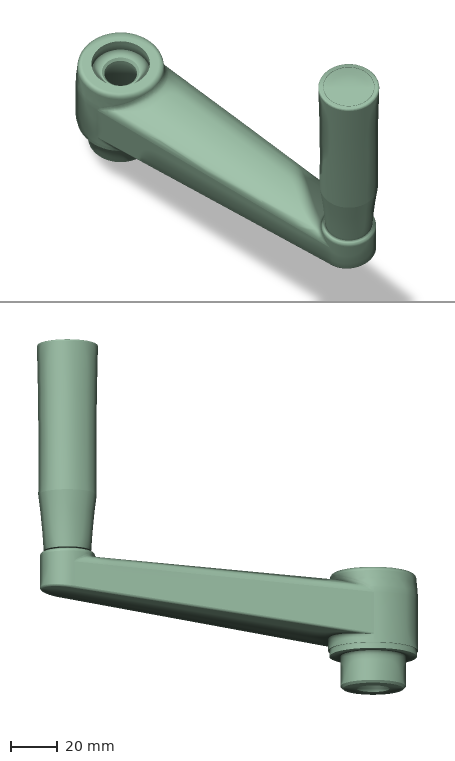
import cadquery as cq
import math


HUB_R = 38.5 / 2
HUB_TOP_R = 18.3
HUB_BOTTOM_Z = 14.0
HUB_STEP_Z = 16.5
HUB_STEP_DEPTH = 0.5
HUB_BLEND_LOW_Z = 38.5
HUB_BLEND_HIGH_Z = 41.3
HUB_TOP_Z = 49.8
HUB_TOP_FILLET = 2.0
SPIGOT_R = 14.0
SPIGOT_CHAMFER = 1.0

BORE_R = 7.0
BORE_CHAMFER = 1.0
COUNTERBORE_R = 12.5
COUNTERBORE_DEPTH = 5.5

AXIS_SPACING = 134.3
ARM_START_X = 4.0
CROWN_R = 38.3
CROWN_START_Z = 45.2
CROWN_TILT = 2.7
UNDERSIDE_START_Z = 19.2
UNDERSIDE_TILT = 7
ARM_EDGE_FILLET = 3.5
UNDERSIDE_FILLET = 0.8
HUB_COVE = 1.8

BOSS_R = 23.5 / 2
BOSS_TOP_Z = 53.2
BOSS_TOP_FILLET = 1.5
BOSS_COVE = 1.5
BOSS_OVERLAP = 0.03

NECK_R = 8.0
GRIP_BOTTOM_Z = 53.8
GRIP_BOTTOM_R = 10.2
GRIP_SHOULDER_Z = 78.3
GRIP_SHOULDER_R = 12.5
GRIP_TOP_Z = 143.8
GRIP_TOP_R = 26.2 / 2
GRIP_TOP_FILLET = 0.7
TAPER_HOLLOW = 0.25
WAIST_HOLLOW = 0.3
PLUG_R = 10.8
PLUG_GAP = 0.2
PLUG_GAP_DEPTH = 0.5

SPAN = 3 * AXIS_SPACING


def revolve_about_z(profile):
    return profile.close().revolve(360, (0, 0, 0), (0, 1, 0))


def make_hub():
    """Spigot and body, the upper body drawn in by a blended cone."""
    blend_mid_z = (HUB_BLEND_LOW_Z + HUB_BLEND_HIGH_Z) / 2
    cone_slope = (HUB_R - HUB_TOP_R) / (HUB_TOP_Z - blend_mid_z)
    blend_end_r = HUB_R - cone_slope * (HUB_BLEND_HIGH_Z - blend_mid_z)
    profile = (
        cq.Workplane("XZ")
        .moveTo(0, 0)
        .lineTo(SPIGOT_R - SPIGOT_CHAMFER, 0)
        .lineTo(SPIGOT_R, SPIGOT_CHAMFER)
        .lineTo(SPIGOT_R, HUB_BOTTOM_Z)
        .lineTo(HUB_R - HUB_STEP_DEPTH, HUB_BOTTOM_Z)
        .lineTo(HUB_R - HUB_STEP_DEPTH, HUB_STEP_Z)
        .lineTo(HUB_R, HUB_STEP_Z)
        .lineTo(HUB_R, HUB_BLEND_LOW_Z)
        .tangentArcPoint((blend_end_r, HUB_BLEND_HIGH_Z), relative=False)
        .lineTo(HUB_TOP_R, HUB_TOP_Z)
        .lineTo(0, HUB_TOP_Z)
    )
    return revolve_about_z(profile).faces(">Z").edges().fillet(HUB_TOP_FILLET)


def make_arm():
    """Tapered arm with a crowned, round-edged top, ending just inside the boss sides."""
    end_r = BOSS_R - BOSS_OVERLAP
    half_width_start = math.sqrt(HUB_R**2 - ARM_START_X**2)
    side_angle = math.atan((half_width_start - end_r) / (AXIS_SPACING - ARM_START_X))
    tangent_x = AXIS_SPACING + end_r * math.sin(side_angle)
    tangent_y = end_r * math.cos(side_angle)
    plan = (
        cq.Workplane("XY")
        .moveTo(ARM_START_X, -half_width_start)
        .lineTo(tangent_x, -tangent_y)
        .lineTo(tangent_x, tangent_y)
        .lineTo(ARM_START_X, half_width_start)
        .close()
        .extrude(HUB_TOP_Z + CROWN_R)
    )
    crown = (
        cq.Workplane("YZ")
        .circle(CROWN_R)
        .extrude(SPAN, both=True)
        .rotate((0, 0, 0), (0, 1, 0), -CROWN_TILT)
        .translate((0, 0, CROWN_START_Z - CROWN_R))
    )
    crowned = plan.intersect(crown).cut(make_underside_cutter())
    long_top_edges = cq.selectors.BoxSelector(
        (AXIS_SPACING / 3, -HUB_R, HUB_BLEND_LOW_Z),
        (2 * AXIS_SPACING / 3, HUB_R, HUB_TOP_Z),
    )
    return crowned.edges(long_top_edges).fillet(ARM_EDGE_FILLET)


def make_boss():
    return (
        cq.Workplane("XY")
        .center(AXIS_SPACING, 0)
        .circle(BOSS_R)
        .extrude(BOSS_TOP_Z)
        .cut(make_underside_cutter())
    )


def make_underside_cutter():
    """Everything below the plane that slopes up from the hub to the boss."""
    rise = SPAN * math.tan(math.radians(UNDERSIDE_TILT))
    return (
        cq.Workplane("XZ")
        .moveTo(0, UNDERSIDE_START_Z)
        .lineTo(SPAN, UNDERSIDE_START_Z + rise)
        .lineTo(SPAN, -SPAN)
        .lineTo(0, -SPAN)
        .close()
        .extrude(SPAN, both=True)
    )


def make_grip():
    """Neck and hollow-waisted grip with a plug set into its upper end."""
    taper_mid = (
        (GRIP_BOTTOM_R + GRIP_SHOULDER_R) / 2 - TAPER_HOLLOW,
        (GRIP_BOTTOM_Z + GRIP_SHOULDER_Z) / 2,
    )
    waist = (
        (GRIP_SHOULDER_R + GRIP_TOP_R) / 2 - WAIST_HOLLOW,
        (GRIP_SHOULDER_Z + GRIP_TOP_Z) / 2,
    )
    profile = (
        cq.Workplane("XZ")
        .moveTo(0, BOSS_TOP_Z - BOSS_TOP_FILLET)
        .lineTo(NECK_R, BOSS_TOP_Z - BOSS_TOP_FILLET)
        .lineTo(NECK_R, GRIP_BOTTOM_Z)
        .lineTo(GRIP_BOTTOM_R, GRIP_BOTTOM_Z)
        .threePointArc(taper_mid, (GRIP_SHOULDER_R, GRIP_SHOULDER_Z))
        .threePointArc(waist, (GRIP_TOP_R, GRIP_TOP_Z))
        .lineTo(0, GRIP_TOP_Z)
    )
    grip = revolve_about_z(profile).faces(">Z").edges().fillet(GRIP_TOP_FILLET)
    plug_gap = (
        cq.Workplane("XY", origin=(0, 0, GRIP_TOP_Z - PLUG_GAP_DEPTH))
        .circle(PLUG_R + PLUG_GAP)
        .circle(PLUG_R)
        .extrude(2 * PLUG_GAP_DEPTH)
    )
    return grip.cut(plug_gap).translate((AXIS_SPACING, 0, 0))


def make_bore():
    """Through bore with a chamfered mouth at the floor of a counterbore."""
    floor_z = HUB_TOP_Z - COUNTERBORE_DEPTH
    profile = (
        cq.Workplane("XZ")
        .moveTo(0, 0)
        .lineTo(BORE_R, 0)
        .lineTo(BORE_R, floor_z - BORE_CHAMFER)
        .lineTo(BORE_R + BORE_CHAMFER, floor_z)
        .lineTo(COUNTERBORE_R, floor_z)
        .lineTo(COUNTERBORE_R, HUB_TOP_Z)
        .lineTo(0, HUB_TOP_Z)
    )
    return revolve_about_z(profile)


def join_hub(arm, hub):
    """Join the hub to the arm and cove the seam across the arm's crown."""
    joined = arm.union(hub)
    crown_at_hub_z = CROWN_START_Z + HUB_R * math.tan(math.radians(CROWN_TILT))
    seam_halves = cq.selectors.BoxSelector(
        (HUB_R / 2, -HUB_R, HUB_BLEND_HIGH_Z),
        (HUB_R, HUB_R, crown_at_hub_z),
    )
    return joined.edges(seam_halves).fillet(HUB_COVE)


def join_boss(arm):
    """Join the boss to the arm's end, cove the seam and round the boss top."""
    joined = arm.union(make_boss())
    seam_crest = cq.selectors.BoxSelector(
        (AXIS_SPACING - BOSS_R, -BOSS_R / 2, CROWN_START_Z),
        (AXIS_SPACING, BOSS_R / 2, BOSS_TOP_Z - BOSS_TOP_FILLET),
    )
    joined = joined.edges(seam_crest).fillet(BOSS_COVE)
    return joined.faces(">Z").edges().fillet(BOSS_TOP_FILLET)


def make_underside_trim(arm, hub):
    """Sliver outside the hub that rounds the arm's long lower edges and the boss's lower rim."""
    boss_far_x = AXIS_SPACING + BOSS_R
    highest_z = UNDERSIDE_START_Z + boss_far_x * math.tan(math.radians(UNDERSIDE_TILT))
    lower_edges = cq.selectors.BoxSelector(
        (AXIS_SPACING / 3, -HUB_R, UNDERSIDE_START_Z),
        (boss_far_x, HUB_R, highest_z),
    )
    rounded = arm.edges(lower_edges).fillet(UNDERSIDE_FILLET)
    return arm.cut(rounded).cut(hub)


hub = make_hub()
arm = join_boss(make_arm())
crank = join_hub(arm, hub).cut(make_underside_trim(arm, hub))
result = crank.union(make_grip()).cut(make_bore())